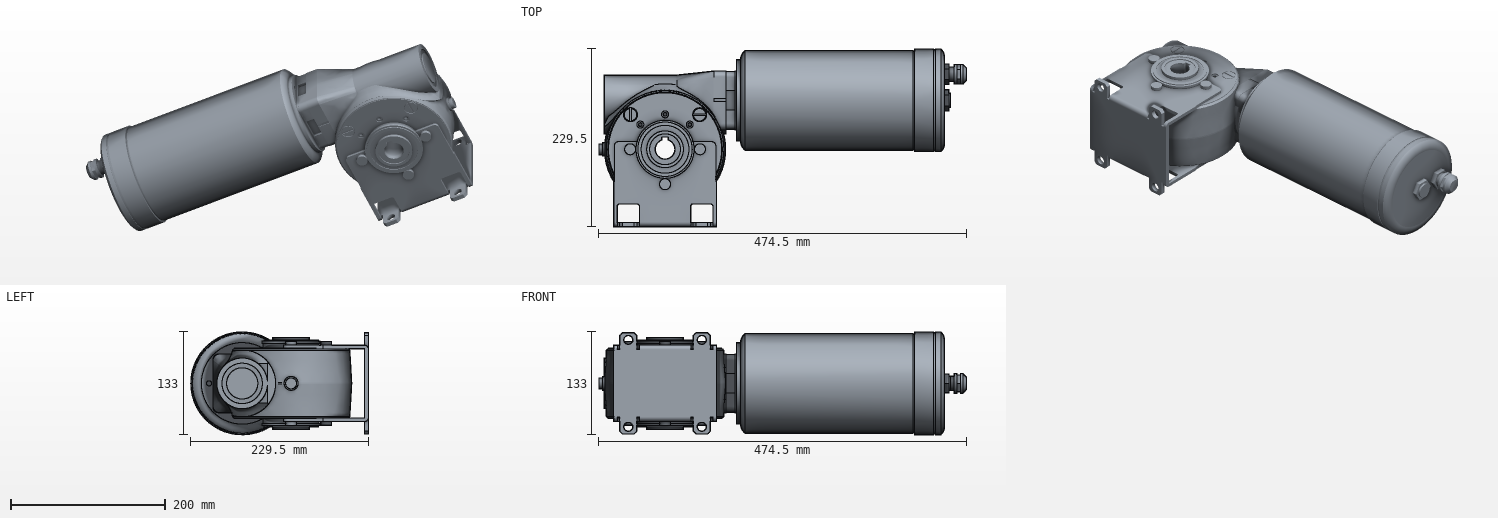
import cadquery as cq
import math


left_end = -85.5
right_end = 389.0
motor_y = 63.0

housing_mid_radius = 78.3
housing_rim_radius = 76.0
housing_half_height = 44.5
seam_half_width = 1.0
rim_chamfer = 2.0
cover_radius = 73.0
cover_top = 45.5

hub_flange_radius = 37.5
hub_flange_step_radius = 35.0
hub_boss_radius = 36.0
hub_boss_top = 51.5
hub_recess_radius = 31.0
hub_recess_depth = 1.0
hub_flange_top = 56.0
hub_step_height = 1.5
collar_radius = 23.5
collar_top = 59.5
collar_recess_radius = 20.0
collar_recess_depth = 1.5
bore_diameter = 25.0
keyway_width = 8.0
keyway_reach = 15.5

bolt_circle_radius = 45.0
bolt_head_diameter = 14.0
bolt_head_top = 54.0
tapped_hole_outer_diameter = 9.0
tapped_hole_diameter = 4.7
tapped_hole_depth = 7.0
tapped_hole_sink = 1.5
cover_screw_offset = 44.5
cover_screw_diameter = 18.0
cover_screw_groove = 1.0
cover_screw_slot = 2.5

plug_head_diameter = 14.0
plug_collar_diameter = 18.0
plug_head_length = 4.7

barrel_left = -78.5
barrel_radius = 32.5
barrel_ring_outer = 52.0
barrel_ring_inner = 40.5
barrel_ring_depth = 1.5
taper_start = 15.0
square_start = 63.0
square_end = 78.5
post_end = 90.0
neck_end = 92.0
post_size = 75.0
block_groove_y = 63.5
block_groove_width = 4.0
block_groove_depth = 1.0
square_size = 76.0
square_corner = 7.5
neck_groove_width = 25.0
neck_groove_depth = 4.0
blend_outer_radius = 84.5
blend_full_height = 25.5
blend_barrel_radius = 43.0
blend_mid_fraction = 0.4

motor_flange_radius = 52.5
motor_flange_start = 92.0
motor_start = 97.0
motor_shoulder = 103.5
motor_nose_x = 99.5
motor_nose_radius = 60.0
motor_radius = 64.5
motor_cap_radius = 66.5
motor_cap_start = 322.0
motor_cap_bend = 355.5
motor_bend_x = 359.5
motor_bend_radius = 61.0
motor_end = 360.5
motor_end_radius = 53.5
groove_depth = 1.0
seam_groove_width = 2.0
cap_groove_start = 346.2
cap_groove_width = 3.0
vent_hole_diameter = 6.5
vent_hole_offset = 42.5
vent_hole_depth = 4.0

gland_y = 96.8
gland_hex_corners = 27.0
gland_hex_end = 366.5
gland_neck_diameter = 19.0
gland_nut_start = 373.0
gland_nut_diameter = 25.5
gland_nut_chamfer = 4.7
gland_band_start = 376.5
gland_band_end = 381.0
end_plug_corners = 28.0
end_plug_hex_end = 366.0
end_plug_disc_diameter = 19.0
end_plug_end = 368.5

foot_y = -100.0
foot_thickness = 5.5
plate_thickness = 4.7
plate_outer = housing_half_height + plate_thickness
fold_radius = 5.5
foot_half_length = 66.5
plate_half_length = 65.5
plate_step_y = -41.5
plate_top_y = 10.0
plate_corner = 5.5
tab_half_height = 65.5
tab_x = 47.5
tab_width = 22.5
tab_corner = 4.0
tab_hole_z = 56.0
tab_hole_diameter = 11.5
window_width = 28.5
window_top_y = -70.5
window_corner = 3.0


def disc_z(radius, bottom, top, x=0.0, y=0.0):
    """Cylinder along Z."""
    return cq.Workplane("XY", origin=(x, y, bottom)).circle(radius).extrude(top - bottom)


def disc_x(diameter, start, end, y=motor_y):
    """Cylinder along X."""
    return cq.Workplane("YZ", origin=(start, y, 0)).circle(diameter / 2).extrude(end - start)


def hex_x(corners, start, end, y):
    """Hexagonal prism along X with two corners on the Y direction."""
    return cq.Workplane("YZ", origin=(start, y, 0)).polygon(6, corners).extrude(end - start)


def both_sides(half):
    """The given upper feature together with its mirror image below the middle plane."""
    return half.union(half.mirror("XY"))


def gear_housing():
    h = housing_half_height
    outline = [
        (0, -h),
        (housing_rim_radius - rim_chamfer, -h),
        (housing_rim_radius, rim_chamfer - h),
        (housing_mid_radius, -seam_half_width),
        (housing_mid_radius, seam_half_width),
        (housing_rim_radius, h - rim_chamfer),
        (housing_rim_radius - rim_chamfer, h),
        (0, h),
    ]
    return cq.Workplane("XZ").polyline(outline).close().revolve(360, (0, 0, 0), (0, 1, 0))


def rounded_square(size):
    return cq.Sketch().rect(size, size).vertices().fillet(square_corner)


def square_bar(size, start, end):
    """Rounded square bar along the motor axis."""
    section = cq.Workplane("YZ", origin=(start, motor_y, 0)).placeSketch(rounded_square(size))
    return section.extrude(end - start)


def worm_barrel():
    barrel = disc_x(2 * barrel_radius, barrel_left, taper_start)
    start = cq.Sketch().circle(barrel_radius)
    end = rounded_square(square_size)
    end_offset = cq.Location(cq.Vector(0, 0, square_start - taper_start))
    taper = (
        cq.Workplane("YZ", origin=(taper_start, motor_y, 0))
        .placeSketch(start, end.moved(end_offset))
        .loft()
    )
    block = square_bar(square_size, square_start, square_end)
    block_length = square_end - square_start
    for side in (-1, 1):
        groove = (
            cq.Workplane("XY")
            .box(block_length, block_groove_width, 2 * block_groove_depth)
            .translate((square_start + block_length / 2, block_groove_y, side * square_size / 2))
        )
        block = block.cut(groove)
    return barrel.union(taper).union(block)


def housing_blend():
    """Flared rim that blends the housing wall into the worm barrel."""
    rim_z = housing_half_height - rim_chamfer
    mid_radius = housing_rim_radius + blend_mid_fraction * (blend_outer_radius - housing_rim_radius)
    mid_z = blend_full_height + blend_mid_fraction * (rim_z - blend_full_height)
    flare = (
        cq.Workplane("XZ")
        .moveTo(cover_radius, -rim_z)
        .lineTo(housing_rim_radius, -rim_z)
        .threePointArc((mid_radius, -mid_z), (blend_outer_radius, -blend_full_height))
        .lineTo(blend_outer_radius, blend_full_height)
        .threePointArc((mid_radius, mid_z), (housing_rim_radius, rim_z))
        .lineTo(cover_radius, rim_z)
        .close()
        .revolve(360, (0, 0, 0), (0, 1, 0))
    )
    return flare.intersect(disc_x(2 * blend_barrel_radius, barrel_left, square_end))


def barrel_end_ring():
    return (
        cq.Workplane("YZ", origin=(barrel_left, motor_y, 0))
        .circle(barrel_ring_outer / 2)
        .circle(barrel_ring_inner / 2)
        .extrude(barrel_ring_depth)
    )


def neck():
    """Four corner posts left by a groove along each side, and a square foot at the motor."""
    length = post_end - square_end
    posts = square_bar(post_size, square_end, post_end)
    for angle in range(0, 360, 90):
        groove = (
            cq.Workplane("XY")
            .box(length, neck_groove_width, 2 * neck_groove_depth)
            .translate((0, 0, post_size / 2))
            .rotate((0, 0, 0), (1, 0, 0), angle)
            .translate((square_end + length / 2, motor_y, 0))
        )
        posts = posts.cut(groove)
    return posts.union(square_bar(square_size, post_end, neck_end))


def motor():
    seam_start = motor_cap_start - seam_groove_width
    cap_groove_end = cap_groove_start + cap_groove_width
    body = (
        cq.Workplane("XY", origin=(0, motor_y, 0))
        .moveTo(motor_flange_start, 0)
        .lineTo(motor_flange_start, motor_flange_radius)
        .lineTo(motor_start, motor_flange_radius)
        .threePointArc((motor_nose_x, motor_nose_radius), (motor_shoulder, motor_radius))
        .lineTo(seam_start, motor_radius)
        .lineTo(seam_start, motor_radius - groove_depth)
        .lineTo(motor_cap_start, motor_radius - groove_depth)
        .lineTo(motor_cap_start, motor_cap_radius)
        .lineTo(cap_groove_start, motor_cap_radius)
        .lineTo(cap_groove_start, motor_cap_radius - groove_depth)
        .lineTo(cap_groove_end, motor_cap_radius - groove_depth)
        .lineTo(cap_groove_end, motor_cap_radius)
        .lineTo(motor_cap_bend, motor_cap_radius)
        .threePointArc((motor_bend_x, motor_bend_radius), (motor_end, motor_end_radius))
        .lineTo(motor_end, 0)
        .close()
        .revolve(360, (0, 0, 0), (1, 0, 0))
    )
    vent_end = motor_flange_start + vent_hole_depth
    vent = disc_x(vent_hole_diameter, motor_flange_start, vent_end, motor_y + vent_hole_offset)
    return body.cut(vent)


def motor_end_fittings():
    gland_hex = hex_x(gland_hex_corners, motor_end, gland_hex_end, gland_y)
    gland_neck = disc_x(gland_neck_diameter, motor_end, gland_nut_start, gland_y)
    gland_collar = disc_x(gland_nut_diameter, gland_nut_start, gland_band_start, gland_y)
    gland_band = hex_x(gland_nut_diameter, gland_band_start, gland_band_end, gland_y)
    gland_tip = (
        disc_x(gland_nut_diameter, gland_band_end, right_end, gland_y)
        .faces(">X")
        .chamfer(gland_nut_chamfer)
    )
    gland = gland_hex.union(gland_neck).union(gland_collar).union(gland_band).union(gland_tip)
    plug_hex = hex_x(end_plug_corners, motor_end, end_plug_hex_end, motor_y)
    plug_disc = disc_x(end_plug_disc_diameter, motor_end, end_plug_end)
    return gland.union(plug_hex).union(plug_disc)


def oil_plug():
    collar_start = left_end + plug_head_length
    head = disc_x(plug_head_diameter, left_end, collar_start, 0)
    collar = disc_x(plug_collar_diameter, collar_start, -cover_radius, 0)
    return head.union(collar)


def hub_and_bolts():
    """Cover, hub boss, hub flange, collar and bracket bolts of the upper side."""
    step_bottom = hub_flange_top - hub_step_height
    hub = (
        disc_z(cover_radius, 0, cover_top)
        .union(disc_z(hub_boss_radius, 0, hub_boss_top))
        .union(disc_z(hub_flange_radius, hub_boss_top, step_bottom))
        .union(disc_z(hub_flange_step_radius, step_bottom, hub_flange_top))
        .cut(disc_z(hub_recess_radius, hub_flange_top - hub_recess_depth, hub_flange_top))
        .union(disc_z(collar_radius, 0, collar_top))
        .cut(disc_z(collar_recess_radius, collar_top - collar_recess_depth, collar_top))
    )
    for angle in (180, 270, 360):
        x = bolt_circle_radius * math.cos(math.radians(angle))
        y = bolt_circle_radius * math.sin(math.radians(angle))
        hub = hub.union(disc_z(bolt_head_diameter / 2, housing_half_height, bolt_head_top, x, y))
    return hub


def cover_recesses():
    """Tapped holes and slotted screw heads cut into the upper cover."""
    cuts = cq.Workplane("XY")
    for angle in (45, 90, 135):
        x = bolt_circle_radius * math.cos(math.radians(angle))
        y = bolt_circle_radius * math.sin(math.radians(angle))
        sink_bottom = cover_top - tapped_hole_sink
        cuts = cuts.union(disc_z(tapped_hole_outer_diameter / 2, sink_bottom, cover_top, x, y))
        hole_bottom = cover_top - tapped_hole_depth
        cuts = cuts.union(disc_z(tapped_hole_diameter / 2, hole_bottom, cover_top, x, y))
    groove_bottom = cover_top - cover_screw_groove
    for side, slot_angle in ((-1, 90), (1, 0)):
        x = side * cover_screw_offset
        radius = cover_screw_diameter / 2
        inner_radius = radius - cover_screw_groove
        ring = (
            cq.Workplane("XY", origin=(x, cover_screw_offset, groove_bottom))
            .circle(radius)
            .circle(inner_radius)
            .extrude(cover_screw_groove)
        )
        slot = (
            cq.Workplane("XY", origin=(x, cover_screw_offset, groove_bottom))
            .transformed(rotate=(0, 0, slot_angle))
            .rect(cover_screw_diameter, cover_screw_slot)
            .extrude(cover_screw_groove)
        )
        cuts = cuts.union(ring).union(slot)
    return cuts


def output_bore():
    bore = disc_z(bore_diameter / 2, -collar_top, collar_top)
    keyway = (
        cq.Workplane("XY", origin=(0, keyway_reach / 2, 0))
        .box(keyway_width, keyway_reach, 2 * collar_top)
    )
    return bore.union(keyway)


def bracket():
    """U-shaped sheet bracket: foot, two side plates and four mounting tabs."""
    depth = plate_top_y - foot_y
    middle_y = (plate_top_y + foot_y) / 2
    shell = (
        cq.Workplane("XY")
        .box(2 * foot_half_length, depth, 2 * plate_outer)
        .translate((0, middle_y, 0))
        .edges("|X and <Y")
        .fillet(fold_radius)
    )
    inside = (
        cq.Workplane("XY")
        .box(2 * foot_half_length, depth, 2 * housing_half_height)
        .translate((0, middle_y + foot_thickness, 0))
    )
    channel = shell.cut(inside)

    outline = (
        cq.Workplane("XY", origin=(0, 0, -plate_outer))
        .moveTo(-foot_half_length, foot_y)
        .lineTo(foot_half_length, foot_y)
        .lineTo(foot_half_length, plate_step_y)
        .lineTo(plate_half_length, plate_step_y)
        .lineTo(plate_half_length, plate_top_y)
        .lineTo(-plate_half_length, plate_top_y)
        .lineTo(-plate_half_length, plate_step_y)
        .lineTo(-foot_half_length, plate_step_y)
        .close()
        .extrude(2 * plate_outer)
        .edges("|Z and >Y")
        .fillet(plate_corner)
    )
    channel = channel.intersect(outline)

    window_height = window_top_y - foot_y
    for x in (-tab_x, tab_x):
        window = (
            cq.Workplane("XY")
            .box(window_width, window_height, 2 * plate_outer)
            .edges("|Z and >Y")
            .fillet(window_corner)
            .translate((x, (window_top_y + foot_y) / 2, 0))
        )
        tab = (
            cq.Workplane("XY")
            .box(tab_width, foot_thickness, 2 * tab_half_height)
            .edges("|Y")
            .chamfer(tab_corner)
            .translate((x, foot_y + foot_thickness / 2, 0))
        )
        foot_strip = (
            cq.Workplane("XY")
            .box(window_width, foot_thickness, 2 * (plate_outer - fold_radius))
            .translate((x, foot_y + foot_thickness / 2, 0))
        )
        channel = channel.cut(window).union(foot_strip).union(tab)
    holes = (
        cq.Workplane("XZ", origin=(0, foot_y + foot_thickness, 0))
        .rect(2 * tab_x, 2 * tab_hole_z, forConstruction=True)
        .vertices()
        .circle(tab_hole_diameter / 2)
        .extrude(foot_thickness)
    )
    return channel.cut(holes)


gearbox = gear_housing().union(worm_barrel()).union(housing_blend())
result = (
    gearbox
    .cut(barrel_end_ring())
    .union(neck())
    .union(motor())
    .union(motor_end_fittings())
    .union(oil_plug())
    .union(bracket())
    .union(both_sides(hub_and_bolts()))
    .cut(both_sides(cover_recesses()))
    .cut(output_bore())
)